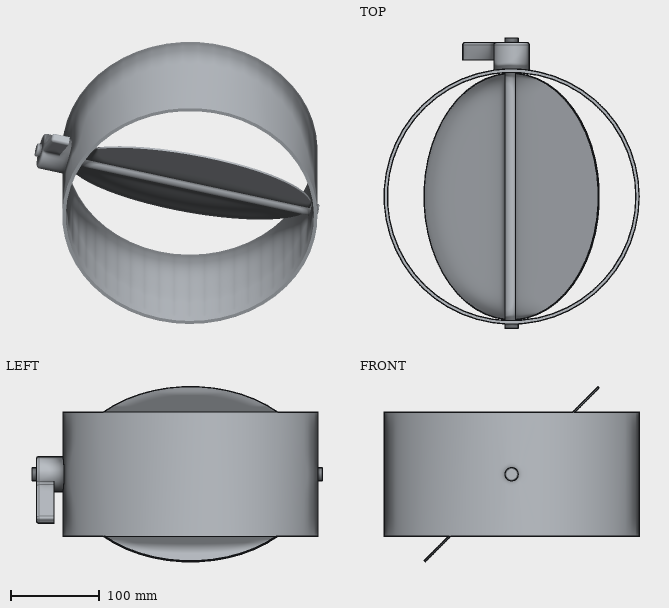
import cadquery as cq

duct_outer_diameter = 288.0
duct_wall = 4.0
duct_height = 140.0

blade_clearance = 1.0
blade_thickness = 2.0
blade_angle = 45.0

shaft_diameter = 15.0
shaft_end_rounding = 1.0
shaft_front_overhang = 5.0

hub_diameter = 40.0
hub_length = 30.0
shaft_rear_overhang = 5.0

arm_reach = 75.0
arm_width = 10.0
arm_depth = 20.0
lever_rounding = 3.0

duct_outer_radius = duct_outer_diameter / 2
duct_inner_radius = duct_outer_radius - duct_wall
blade_radius = duct_inner_radius - blade_clearance
shaft_front_y = -duct_outer_radius - shaft_front_overhang
hub_rear_y = duct_outer_radius + hub_length
shaft_rear_y = hub_rear_y + shaft_rear_overhang
hub_seat_y = duct_outer_radius - duct_wall / 2


def bar_along_y(diameter, start_y, end_y):
    """Round bar on the Y axis between two Y positions."""
    plane = cq.Workplane("XZ", origin=(0, start_y, 0))
    return plane.circle(diameter / 2).extrude(start_y - end_y)


def make_duct():
    """Open cylindrical duct section, centred on the origin."""
    plane = cq.Workplane("XY", origin=(0, 0, -duct_height / 2))
    return plane.circle(duct_outer_radius).circle(duct_inner_radius).extrude(duct_height)


def make_blade():
    """Round damper blade tilted about the shaft, with its +X side up."""
    blade = cq.Workplane("XY").circle(blade_radius).extrude(blade_thickness / 2, both=True)
    return blade.rotate((0, 0, 0), (0, 1, 0), -blade_angle)


def make_shaft():
    """Shaft through the duct and lever, rounded at both ends."""
    shaft = bar_along_y(shaft_diameter, shaft_front_y, shaft_rear_y)
    return shaft.faces("<Y or >Y").edges().fillet(shaft_end_rounding)


def make_lever():
    """Hub with a radial arm that lies parallel to the blade, on its low side."""
    hub = bar_along_y(hub_diameter, hub_seat_y, hub_rear_y)
    arm = cq.Workplane("XY").box(arm_reach, arm_depth, arm_width, centered=(False, False, True))
    arm = arm.translate((-arm_reach, hub_rear_y - arm_depth, 0))
    arm = arm.faces("<X").edges("|Y").fillet(lever_rounding)
    lever = hub.union(arm)

    corner_box = cq.selectors.BoxSelector(
        (-hub_diameter / 2, hub_rear_y - arm_depth, -arm_width),
        (-hub_diameter / 4, hub_rear_y, arm_width),
    )
    lever = lever.edges("|Y").edges(corner_box).fillet(lever_rounding)

    lever = lever.faces(">Y").edges().fillet(lever_rounding)
    return lever.rotate((0, 0, 0), (0, 1, 0), -blade_angle)


result = make_duct().union(make_blade()).union(make_shaft()).union(make_lever())